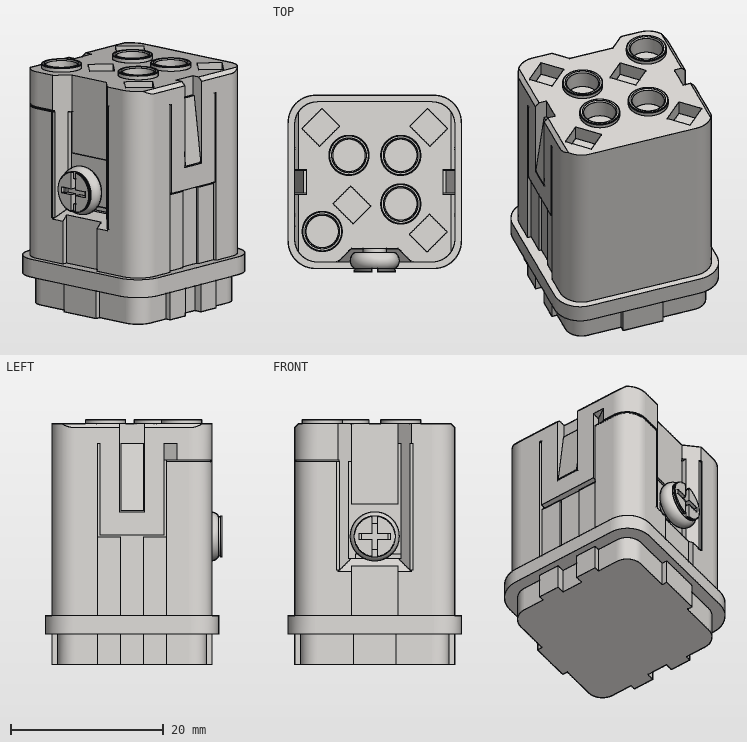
import cadquery as cq

TOTAL_HEIGHT = 32.1
BODY_WIDTH = 20.95
BODY_TOP = 31.52
BODY_CORNER = 3.0
FLANGE_WIDTH = 22.7
FLANGE_BOTTOM = 4.0
FLANGE_TOP = 6.42
FLANGE_CORNER = 3.6
BODY_HALF = BODY_WIDTH / 2
TOP_CHAMFER = 0.5

PAD_DEPTH = 0.75
FOOT_CORNER = BODY_CORNER - PAD_DEPTH
END_PAD_WIDTH = 5.6
FOOT_GAP_DEPTH = 1.1

CENTRE_HALF = 1.5
RECESS_HALF = 4.5
RECESS_DEPTH = 0.48
RECESS_TOP = 16.7
GROOVE_DEPTH = 0.8
GROOVE_WIDTH = 0.3
GROOVE_TOP = 28.95

SLOT_HALF = 1.65
SLOT_DEPTH = 1.55
SLOT_BOTTOM = 20.0
RAMP_GAP = 0.15
RAMP_TOP_DEPTH = 1.15

SLIT_BOTTOM = 26.58
SLIT_HEIGHT = 0.2
SLIT_DEPTH = 0.15
WINDOW_WIDTH = 1.67
WINDOW_DEPTH = 1.12

CHANNEL_DEPTH = 1.8
CHANNEL_HALF = 4.8
CHANNEL_BOTTOM = 12.15
CHANNEL_STEP_HALF = 5.0
CHANNEL_STEP_DEPTH = 0.2
CHANNEL_INNER_HALF = CHANNEL_HALF - CHANNEL_DEPTH
WELL_HALF = 3.4
WELL_BOTTOM = 13.87
CLAMP_TOP = 21.03
CLAMP_BOTTOM = 14.48
CLAMP_DEPTH = 2.05
WELL_DEPTH = 2.3
CLAMP_FOOT_WIDTH = 0.9
FRONT_RECESS_DEPTH = PAD_DEPTH

SCREW_Z = 16.8
NECK_RADIUS = 1.5
HEAD_RADIUS = 3.2
HEAD_BACK_RADIUS = 2.63
HEAD_BACK_Y = -9.25
HEAD_MIDDLE_Y = -10.2
HEAD_FRONT_Y = -11.3
FACE_RADIUS = 2.7
FACE_BACK_Y = -11.55
FACE_NECK_RADIUS = 2.6
FACE_Y = -11.78
CROSS_WIDTH = 0.77
CROSS_HALF = 2.1
CROSS_DEEP_HALF = 1.7
CROSS_DEPTH = 0.8

RIM_RADIUS = 2.63
CAVITY_RADIUS = 2.12
CAVITY_DEPTH = 2.5
RIM_OUTER_CHAMFER = 0.1
RIM_INNER_CHAMFER = 0.15
CAVITY_CENTRES = [(-3.37, 3.47), (3.4, 3.47), (3.4, -2.9), (-6.87, -6.5)]

POCKET_LENGTH = 3.72
POCKET_WIDTH = 3.27
POCKET_DEPTH = 1.95
POCKETS = [(-7.05, 7.13, 45), (7.05, 7.13, -45), (7.0, -6.7, 45), (-3.0, -3.02, -45)]


def block(x_range, y_range, z_range):
    """Box spanning the given coordinate ranges."""
    size = [high - low for low, high in (x_range, y_range, z_range)]
    corner = (x_range[0], y_range[0], z_range[0])
    return cq.Workplane("XY").box(*size, centered=False).translate(corner)


def rounded_block(width, radius, bottom, top):
    """Square block with rounded vertical edges."""
    square = cq.Workplane("XY").workplane(offset=bottom).rect(width, width)
    return square.extrude(top - bottom).edges("|Z").fillet(radius)


def on_both_sides(left):
    """A shape on the -X side together with its mirror image."""
    return left.union(left.mirror("YZ"))


def left_cut(depth, y_range, z_range):
    """Block reaching into the -X face by the given depth."""
    return block((-BODY_HALF, -BODY_HALF + depth), y_range, z_range)


def front_cut(depth, x_range, z_range):
    """Block reaching into the -Y face by the given depth."""
    return block(x_range, (-BODY_HALF, -BODY_HALF + depth), z_range)


def make_foot():
    core_width = BODY_WIDTH - 2 * PAD_DEPTH
    foot = rounded_block(core_width, FOOT_CORNER, 0, FLANGE_BOTTOM)
    z_range = (0, FLANGE_BOTTOM)
    gap = on_both_sides(left_cut(FOOT_GAP_DEPTH, (-CENTRE_HALF, CENTRE_HALF), z_range))
    foot = foot.cut(gap)
    for y_range in ((-RECESS_HALF, -CENTRE_HALF), (CENTRE_HALF, RECESS_HALF)):
        foot = foot.union(on_both_sides(left_cut(FOOT_GAP_DEPTH, y_range, z_range)))
    end_pad = front_cut(PAD_DEPTH, (-END_PAD_WIDTH / 2, END_PAD_WIDTH / 2), z_range)
    return foot.union(end_pad).union(end_pad.mirror("XZ"))


def make_body():
    body = rounded_block(BODY_WIDTH, BODY_CORNER, FLANGE_TOP, BODY_TOP)
    chamfer = (
        cq.Workplane("XZ")
        .moveTo(-BODY_HALF, BODY_TOP)
        .lineTo(-BODY_HALF + TOP_CHAMFER, BODY_TOP)
        .lineTo(-BODY_HALF, BODY_TOP - TOP_CHAMFER)
        .close()
        .extrude(BODY_HALF, both=True)
    )
    return body.cut(on_both_sides(chamfer))


def side_recess():
    """Recess below the tongue and the fine groove outlining the tongue, as deep as its centre."""
    outline = left_cut(GROOVE_DEPTH, (-RECESS_HALF, RECESS_HALF), (RECESS_TOP, GROOVE_TOP))
    tongue_half = RECESS_HALF - GROOVE_WIDTH
    tongue_bottom = RECESS_TOP + GROOVE_WIDTH
    tongue = left_cut(GROOVE_DEPTH, (-tongue_half, tongue_half), (tongue_bottom, GROOVE_TOP))
    z_range = (FLANGE_TOP, RECESS_TOP)
    recess = left_cut(RECESS_DEPTH, (-RECESS_HALF, RECESS_HALF), z_range)
    centre = left_cut(GROOVE_DEPTH, (-CENTRE_HALF, CENTRE_HALF), z_range)
    return on_both_sides(outline.cut(tongue).union(recess).union(centre))


def side_slot():
    """Latch slot open at the top, less the ramp standing in it."""
    slot = left_cut(SLOT_DEPTH, (-SLOT_HALF, SLOT_HALF), (SLOT_BOTTOM, BODY_TOP))
    ramp_bottom = SLOT_BOTTOM + RAMP_GAP
    back_x = -BODY_HALF + SLOT_DEPTH
    ramp = (
        cq.Workplane("XZ")
        .moveTo(back_x, ramp_bottom)
        .lineTo(-BODY_HALF, ramp_bottom)
        .lineTo(-BODY_HALF + RAMP_TOP_DEPTH, GROOVE_TOP)
        .lineTo(back_x, GROOVE_TOP)
        .close()
        .extrude(SLOT_HALF - RAMP_GAP, both=True)
    )
    return on_both_sides(slot.cut(ramp))


def corner_slit():
    """Parting slit around the front left corner, and the wedge-shaped window above its end."""
    slit_top = SLIT_BOTTOM + SLIT_HEIGHT
    inside_width = BODY_WIDTH - 2 * SLIT_DEPTH
    ring = rounded_block(BODY_WIDTH, BODY_CORNER, SLIT_BOTTOM, slit_top).cut(
        rounded_block(inside_width, BODY_CORNER - SLIT_DEPTH, SLIT_BOTTOM, slit_top)
    )
    window_y = -RECESS_HALF + GROOVE_WIDTH
    corner = block(
        (-BODY_HALF, -CHANNEL_INNER_HALF), (-BODY_HALF, window_y), (SLIT_BOTTOM, slit_top)
    )
    window = (
        cq.Workplane("XY")
        .workplane(offset=slit_top)
        .moveTo(-BODY_HALF, window_y)
        .lineTo(-BODY_HALF + WINDOW_DEPTH, window_y)
        .lineTo(-BODY_HALF, window_y - WINDOW_WIDTH)
        .close()
        .extrude(GROOVE_TOP - slit_top)
    )
    return ring.intersect(corner).union(window)


def screw_channel():
    """Front channel: bevelled trough, shallow border step and clamp well."""
    front_y = -BODY_HALF
    back_y = front_y + CHANNEL_DEPTH
    trough = (
        cq.Workplane("XY")
        .workplane(offset=CHANNEL_BOTTOM)
        .moveTo(-CHANNEL_HALF, front_y)
        .lineTo(-CHANNEL_INNER_HALF, back_y)
        .lineTo(CHANNEL_INNER_HALF, back_y)
        .lineTo(CHANNEL_HALF, front_y)
        .close()
        .extrude(BODY_TOP - CHANNEL_BOTTOM)
    )
    sloped_floor = (
        cq.Workplane("YZ")
        .moveTo(front_y, CHANNEL_BOTTOM)
        .lineTo(back_y, CHANNEL_BOTTOM + CHANNEL_DEPTH)
        .lineTo(back_y, BODY_TOP)
        .lineTo(front_y, BODY_TOP)
        .close()
        .extrude(CHANNEL_HALF, both=True)
    )
    cut = trough.intersect(sloped_floor)
    step_bottom = CHANNEL_BOTTOM + CHANNEL_STEP_DEPTH

    for left, right, top in ((-1, 0, SLIT_BOTTOM), (0, 1, GROOVE_TOP)):
        step_x = (left * CHANNEL_STEP_HALF, right * CHANNEL_STEP_HALF)
        well_x = (left * WELL_HALF, right * WELL_HALF)
        cut = cut.union(front_cut(CHANNEL_STEP_DEPTH, step_x, (step_bottom, top)))
        cut = cut.union(front_cut(CLAMP_DEPTH, well_x, (WELL_BOTTOM, top)))

    tongue = block(
        (-CHANNEL_INNER_HALF, CHANNEL_INNER_HALF),
        (back_y, front_y + CLAMP_DEPTH),
        (CLAMP_TOP, BODY_TOP),
    )
    cut = cut.cut(tongue)

    foot_x = (-WELL_HALF + CLAMP_FOOT_WIDTH, WELL_HALF)
    cut = cut.union(front_cut(WELL_DEPTH, foot_x, (WELL_BOTTOM, CLAMP_BOTTOM)))

    recess_x = (-CHANNEL_INNER_HALF, CHANNEL_INNER_HALF)
    recess_z = (FLANGE_TOP, CHANNEL_BOTTOM + FRONT_RECESS_DEPTH)
    return cut.union(front_cut(FRONT_RECESS_DEPTH, recess_x, recess_z))


def make_screw():
    neck_y = -BODY_HALF + WELL_DEPTH
    profile = (
        cq.Workplane("XY")
        .moveTo(0, neck_y)
        .lineTo(NECK_RADIUS, neck_y)
        .lineTo(NECK_RADIUS, HEAD_BACK_Y)
        .lineTo(HEAD_BACK_RADIUS, HEAD_BACK_Y)
        .threePointArc((HEAD_RADIUS, HEAD_MIDDLE_Y), (FACE_RADIUS, HEAD_FRONT_Y))
        .lineTo(FACE_NECK_RADIUS, HEAD_FRONT_Y)
        .lineTo(FACE_NECK_RADIUS, FACE_BACK_Y)
        .lineTo(FACE_RADIUS, FACE_BACK_Y)
        .lineTo(FACE_RADIUS, FACE_Y)
        .lineTo(0, FACE_Y)
        .close()
    )
    screw = profile.revolve(360, (0, 0, 0), (0, 1, 0))
    half = CROSS_WIDTH / 2
    shallow_y = (FACE_Y, HEAD_FRONT_Y)
    deep_y = (FACE_Y, FACE_Y + CROSS_DEPTH)
    for y_range, upright_half, bar_half in (
        (shallow_y, HEAD_RADIUS, CROSS_HALF),
        (deep_y, CROSS_DEEP_HALF, CROSS_DEEP_HALF),
    ):
        screw = screw.cut(block((-half, half), y_range, (-upright_half, upright_half)))
        screw = screw.cut(block((-bar_half, bar_half), y_range, (-half, half)))
    return screw.translate((0, 0, SCREW_Z))


def cavity_rims():
    rims = cq.Workplane("XY").workplane(offset=BODY_TOP).pushPoints(CAVITY_CENTRES)
    rims = rims.circle(RIM_RADIUS).extrude(TOTAL_HEIGHT - BODY_TOP)
    return rims.faces(">Z").edges().chamfer(RIM_OUTER_CHAMFER)


def cavity_holes():
    mouth_radius = CAVITY_RADIUS + RIM_INNER_CHAMFER
    floor_z = TOTAL_HEIGHT - CAVITY_DEPTH
    hole = (
        cq.Workplane("XZ")
        .moveTo(0, floor_z)
        .lineTo(CAVITY_RADIUS, floor_z)
        .lineTo(CAVITY_RADIUS, TOTAL_HEIGHT - RIM_INNER_CHAMFER)
        .lineTo(mouth_radius, TOTAL_HEIGHT)
        .lineTo(0, TOTAL_HEIGHT)
        .close()
        .revolve(360, (0, 0, 0), (0, 1, 0))
    )
    holes = cq.Workplane("XY")
    for x, y in CAVITY_CENTRES:
        holes = holes.union(hole.translate((x, y, 0)))
    return holes


def top_pockets():
    pockets = cq.Workplane("XY")
    for x, y, angle in POCKETS:
        pocket = cq.Workplane("XY").box(POCKET_LENGTH, POCKET_WIDTH, 2 * POCKET_DEPTH)
        pocket = pocket.rotate((0, 0, 0), (0, 0, 1), angle)
        pockets = pockets.union(pocket.translate((x, y, BODY_TOP)))
    return pockets


result = (
    make_body()
    .cut(side_recess())
    .cut(side_slot())
    .cut(corner_slit())
    .cut(screw_channel())
    .union(rounded_block(FLANGE_WIDTH, FLANGE_CORNER, FLANGE_BOTTOM, FLANGE_TOP))
    .union(make_foot())
    .union(cavity_rims())
    .cut(top_pockets())
    .cut(cavity_holes())
    .union(make_screw())
)